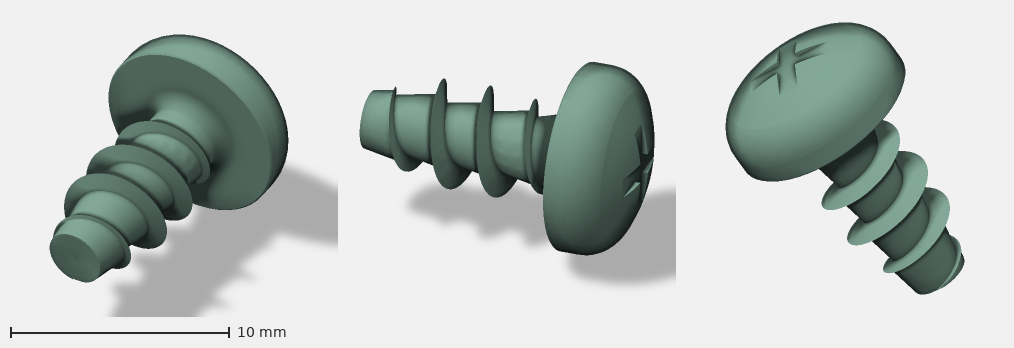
import cadquery as cq
import math


total_length = 13.34
head_height = 3.34
tip_y = head_height - total_length

head_radius = 4.4
shoulder_radius = 3.52
shoulder_y = 2.48
rim_y = 0.96
rim_chamfer = 0.07
recess_width = 0.97
recess_depth = 0.27

neck_radius = 1.72
neck_end_y = -1.25
neck_fillet = 0.7
neck_cone_angle = 16.0

pitch = 2.23
turn_zero_y = -1.61
points_per_turn = 16

core_taper = math.tan(math.radians(10))
core_high_radius = 1.71
core_gap = 0.13
core_first_turn = -1.1
core_last_turn = 4.0
tip_radius = 1.36
bar_radius = 1.31
root_radius = 1.2

hollow_radius = 1.25
hollow_depth = 0.11

thread_radius = 2.51
thread_flank = math.tan(math.radians(18))
lead_in_turn = -0.45
lead_in_radius = 1.71
thread_first_turn = (turn_zero_y - neck_end_y) / pitch
thread_start_radius = 1.99
thread_full_turn = 0.75
thread_fade_turn = 2.25
thread_last_turn = 3.75
thread_end_radius = tip_radius


def revolved(outline):
    """Turn a closed half outline in the XY plane about the Y axis."""
    return outline.close().revolve(360, (0, 0, 0), (0, 1, 0))


def helical_solid(corners, stretches):
    """Solid whose corners follow helices; a corner gives its (radius, Y offset) at a turn.

    The faces are split at the turns listed in stretches, where the corners may bend.
    """

    def point(corner, turn):
        radius, offset = corner(turn)
        angle = 2 * math.pi * turn
        y = turn_zero_y - pitch * turn + offset
        return cq.Vector(radius * math.cos(angle), y, radius * math.sin(angle))

    faces = []
    for first, last in zip(stretches, stretches[1:]):
        steps = math.ceil((last - first) * points_per_turn)
        turns = [first + (last - first) * i / steps for i in range(steps + 1)]
        edges = [cq.Edge.makeSpline([point(corner, turn) for turn in turns]) for corner in corners]
        faces += [cq.Face.makeRuledSurface(a, b) for a, b in zip(edges, edges[1:] + edges[:1])]
    for turn in (stretches[0], stretches[-1]):
        end = cq.Wire.makePolygon([point(corner, turn) for corner in corners], close=True)
        faces.append(cq.Face.makeFromWires(end))
    return cq.Workplane(cq.Solid.makeSolid(cq.Shell.makeShell(faces)))


def make_head():
    corner_radius = recess_width / math.sqrt(2)
    rise = head_height - shoulder_y
    dome_center_y = (shoulder_y + head_height) / 2 - (shoulder_radius**2 - corner_radius**2) / (2 * rise)
    dome_radius = math.hypot(corner_radius, head_height - dome_center_y)
    half_angle = math.asin(shoulder_radius / dome_radius) / 2
    dome_middle = (dome_radius * math.sin(half_angle), dome_center_y + dome_radius * math.cos(half_angle))

    head = revolved(
        cq.Workplane("XY")
        .lineTo(head_radius - rim_chamfer, 0)
        .lineTo(head_radius, rim_chamfer)
        .lineTo(head_radius, rim_y)
        .tangentArcPoint((shoulder_radius, shoulder_y), relative=False)
        .threePointArc(dome_middle, (0, dome_center_y + dome_radius))
    )
    slot_height = 2 * recess_depth
    slot = cq.Workplane("XY").box(2 * head_radius, slot_height, recess_width)
    slot = slot.translate((0, head_height - recess_depth + slot_height / 2, 0))
    return head.cut(slot).cut(slot.rotate((0, 0, 0), (0, 1, 0), 90))


def make_neck():
    cone_length = (neck_radius - root_radius) / math.tan(math.radians(neck_cone_angle))
    fillet_inset = neck_fillet * (1 - math.sqrt(0.5))
    return revolved(
        cq.Workplane("XY")
        .moveTo(0, rim_y)
        .lineTo(neck_radius + neck_fillet, rim_y)
        .lineTo(neck_radius + neck_fillet, 0)
        .threePointArc((neck_radius + fillet_inset, -fillet_inset), (neck_radius, -neck_fillet))
        .lineTo(neck_radius, neck_end_y)
        .lineTo(root_radius, neck_end_y - cone_length)
        .lineTo(0, neck_end_y - cone_length)
    )


def make_bar():
    return cq.Workplane("XZ").circle(bar_radius).extrude(-tip_y)


def make_core():
    top = -core_gap / 2
    bottom = core_gap / 2 - pitch
    core_low_radius = core_high_radius - (top - bottom) * core_taper
    core = helical_solid(
        [
            lambda turn: (root_radius, top),
            lambda turn: (core_high_radius, top),
            lambda turn: (core_low_radius, bottom),
            lambda turn: (root_radius, bottom),
        ],
        (core_first_turn, core_last_turn),
    )
    envelope = revolved(
        cq.Workplane("XY")
        .lineTo(tip_radius - tip_y * core_taper, 0)
        .lineTo(tip_radius, tip_y)
        .lineTo(0, tip_y)
    )
    return core.intersect(envelope)


def crest_radius(turn):
    if turn < thread_first_turn:
        lead_in = (turn - lead_in_turn) / (thread_first_turn - lead_in_turn)
        return lead_in_radius + lead_in * (thread_start_radius - lead_in_radius)
    run_in = (turn - thread_first_turn) / (thread_full_turn - thread_first_turn)
    run_out = (thread_last_turn - turn) / (thread_last_turn - thread_fade_turn)
    return min(
        thread_radius,
        thread_start_radius + run_in * (thread_radius - thread_start_radius),
        thread_end_radius + run_out * (thread_radius - thread_end_radius),
    )


def make_thread():
    def half_width(turn):
        return (crest_radius(turn) - root_radius) * thread_flank

    def crest_offset(turn):
        return pitch * min(0, turn - thread_first_turn)

    thread = helical_solid(
        [
            lambda turn: (root_radius, crest_offset(turn) + half_width(turn)),
            lambda turn: (crest_radius(turn), crest_offset(turn)),
            lambda turn: (root_radius, crest_offset(turn) - half_width(turn)),
        ],
        (lead_in_turn, thread_first_turn, thread_full_turn, thread_fade_turn, thread_last_turn),
    )
    stock = cq.Workplane("XZ").circle(head_radius).extrude(-tip_y)
    return thread.intersect(stock)


def make_tip_hollow():
    return revolved(
        cq.Workplane("XY")
        .moveTo(0, tip_y)
        .lineTo(hollow_radius, tip_y)
        .lineTo(0, tip_y + hollow_depth)
    )


shank = make_bar().union(make_core()).union(make_thread())
result = shank.union(make_neck()).union(make_head()).cut(make_tip_hollow())